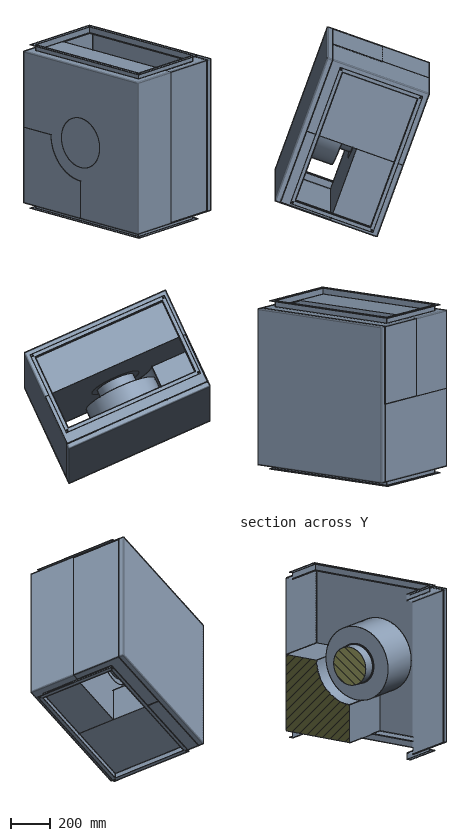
import cadquery as cq

overall_height = 861.0
cabinet_width = 780.0
cabinet_depth = 545.0
cabinet_height = 800.0
edge_radius = 4.0
wall = 4.0
sheet = 1.0

block_depth = 250.0
housing_depth = 515.0
cover_gap = 2.1
cover_front = housing_depth + cover_gap

duct_width = 700.0
duct_depth = 400.0
duct_centre_y = block_depth
collar_height = (overall_height - cabinet_height) / 2
flange_width = 20.0
flange_hole_diameter = 7.0
flange_hole_inset = 9.5

hub_radius = 130.0
neck_radius = 100.0
ring_radius = 103.0
ring_thickness = 8.0
wheel_radius = 190.0
wheel_front = 314.0

shroud_inner_radius = 200.0
shroud_outer_radius = shroud_inner_radius + sheet
shroud_clearance = 1.0
corner_arc_radius = shroud_outer_radius + shroud_clearance


def box(width, height, front, rear):
    """Box centred on X and Z that spans two depths."""
    return cq.Workplane("XZ", origin=(0, front, 0)).rect(width, height).extrude(front - rear)


def cylinder(radius, front, rear):
    """Cylinder on the fan axis that spans two depths."""
    return cq.Workplane("XZ", origin=(0, front, 0)).circle(radius).extrude(front - rear)


def lower_left_quarter(front, rear):
    """Quarter of the cabinet below and to the left of the fan axis."""
    half_width = cabinet_width / 2
    half_height = cabinet_height / 2
    return box(half_width, half_height, front, rear).translate((-half_width / 2, 0, -half_height / 2))


def make_envelope():
    """Outside shape of the closed cabinet, rounded on every edge."""
    return box(cabinet_width, cabinet_height, 0, cabinet_depth).edges().fillet(edge_radius)


def make_top_duct():
    """Collar and drilled flange of the upper connection, still closed inside."""
    base = cq.Workplane("XY", origin=(0, duct_centre_y, cabinet_height / 2))
    collar = base.rect(duct_width + 2 * sheet, duct_depth + 2 * sheet).extrude(collar_height)
    flange_size_x = duct_width + 2 * flange_width
    flange_size_y = duct_depth + 2 * flange_width
    flange_base = base.workplane(offset=collar_height - sheet)
    flange = flange_base.rect(flange_size_x, flange_size_y).extrude(sheet)
    holes = (
        flange_base.rect(
            flange_size_x - 2 * flange_hole_inset,
            flange_size_y - 2 * flange_hole_inset,
            forConstruction=True,
        )
        .vertices()
        .circle(flange_hole_diameter / 2)
        .extrude(sheet)
    )
    return collar.union(flange.cut(holes))


def make_duct_passage():
    """Air passage through both ducts, stopped by the front block inside the cabinet."""
    passage = (
        cq.Workplane("XY", origin=(0, duct_centre_y, -overall_height / 2))
        .rect(duct_width, duct_depth)
        .extrude(overall_height)
    )
    return passage.cut(box(cabinet_width, cabinet_height, 0, block_depth))


def make_chamber():
    """Air space between the front block and the open rear of the housing."""
    return box(cabinet_width - 2 * wall, cabinet_height - 2 * wall, block_depth, housing_depth)


def make_corner_recess():
    """Recess for the corner block, bounded by the outside of the shroud."""
    recess = lower_left_quarter(0, housing_depth)
    return recess.cut(cylinder(shroud_outer_radius, 0, housing_depth))


def make_shroud():
    """Thin quarter-round sheet behind the front block, below and left of the fan."""
    tube = cylinder(shroud_outer_radius, block_depth, housing_depth).cut(
        cylinder(shroud_inner_radius, block_depth, housing_depth)
    )
    return tube.intersect(lower_left_quarter(block_depth, housing_depth))


def make_housing():
    """Solid front block with hub bore, thin-walled chamber, shroud and both ducts."""
    top_duct = make_top_duct()
    return (
        make_envelope()
        .intersect(box(cabinet_width, cabinet_height, 0, housing_depth))
        .union(top_duct)
        .union(top_duct.mirror("XY"))
        .cut(make_duct_passage())
        .cut(make_chamber())
        .cut(make_corner_recess())
        .union(make_shroud())
        .cut(cylinder(hub_radius, 0, block_depth))
    )


def make_cover():
    """Rear cover, set a narrow gap behind the housing."""
    return make_envelope().intersect(box(cabinet_width, cabinet_height, cover_front, cabinet_depth))


def make_corner_block():
    """Lower left block, flush with the outside and cut back by an arc round the fan axis."""
    block = make_envelope().intersect(lower_left_quarter(0, housing_depth))
    return block.cut(cylinder(corner_arc_radius, 0, housing_depth))


def make_fan():
    """Hub in the front block, neck, ring, and wheel that rests on the cover."""
    hub = cylinder(hub_radius, 0, block_depth)
    neck = cylinder(neck_radius, block_depth, wheel_front)
    ring = cylinder(ring_radius, wheel_front - ring_thickness, wheel_front)
    wheel = cylinder(wheel_radius, wheel_front, cover_front)
    return hub.union(neck).union(ring).union(wheel)


housing = make_housing().solids()
cover = make_cover().solids()
corner_block = make_corner_block().solids()
fan = make_fan().solids()

result = cq.Compound.makeCompound([housing.val(), cover.val(), corner_block.val(), fan.val()])